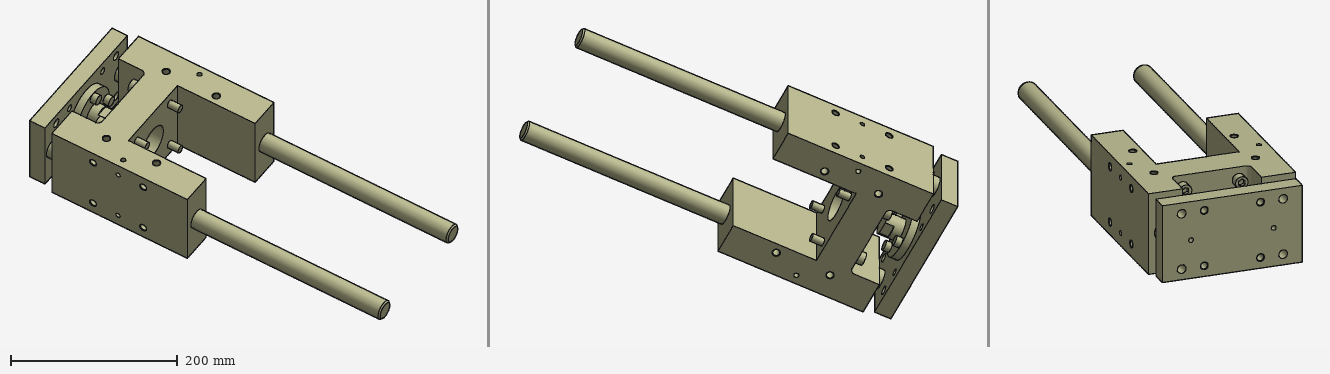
import cadquery as cq
import math

TOTAL_LENGTH = 501.0

PLATE_THICKNESS = 22.0
PLATE_WIDTH = 180.0
PLATE_HEIGHT = 100.0

HOUSING_START = 35.0
HOUSING_END = 230.0
HOUSING_WIDTH = 189.0
HOUSING_HEIGHT = 105.0
WEB_START = 74.5
WEB_END = 118.0
FRONT_OPENING = 101.0
REAR_OPENING = 106.5
CORNER_RADIUS = 6.0

ROD_DIAMETER = 25.0
ROD_SPACING = 148.5
ROD_CHAMFER = 2.0

FLANGE_DIAMETER = 70.0
FLANGE_THICKNESS = 10.0
STUD_DIAMETER = 29.0
STUD_END = 56.5
STUD_FLATS = 24.0
STUD_FLAT_LENGTH = 12.0
FLANGE_SCREW_DIAMETER = 13.0
FLANGE_SCREW_HEIGHT = 8.0
FLANGE_SCREW_CIRCLE = 56.0

HOLE_PITCH = 72.0
WIDE_PITCH = 130.5

THREAD_DIAMETER = 10.0
CORE_DIAMETER = 8.5
COUNTERSINK_DEPTH = (THREAD_DIAMETER - CORE_DIAMETER) / 2
THREAD_DEPTH = 15.0
POINT_ANGLE = 118.0

DOWEL_DIAMETER = 6.0
DOWEL_DEPTH = 12.0
PLATE_DOWEL_SPACING = 106.0
HOUSING_DOWEL_SPACING = 166.5
PATTERN_CENTRE = 130.5

CLEARANCE_DIAMETER = 11.0

WEB_BORE = 45.0
SCREW_DIAMETER = 10.0
SCREW_TAIL = 15.5
SCREW_HEAD_DIAMETER = 16.0
SCREW_HEAD_HEIGHT = 11.0
SOCKET_FLATS = 8.0
SOCKET_DEPTH = 5.0

INTO_PLATE = (1, 0, 0)


def block(x_start, x_end, width, height):
    """Box between two X positions, centred on the X axis."""
    return cq.Workplane("YZ", origin=(x_start, 0, 0)).rect(width, height).extrude(x_end - x_start)


def rod(diameter, x_start, x_end, y=0.0, z=0.0):
    """Cylinder parallel to X."""
    return cq.Workplane("YZ", origin=(x_start, y, z)).circle(diameter / 2).extrude(x_end - x_start)


def corners(pitch_a, pitch_b):
    """Four corners of a centred rectangle."""
    return [(a * pitch_a / 2, b * pitch_b / 2) for a in (-1, 1) for b in (-1, 1)]


def placed(tool, position, direction):
    """Cutting tool built along +Z, moved so that it enters at a position along a direction."""
    return cq.Workplane(tool.moved(cq.Location(cq.Plane(origin=position, normal=direction))))


def countersink():
    """Cone that widens the mouth of a threaded hole."""
    return cq.Solid.makeCone(THREAD_DIAMETER / 2, CORE_DIAMETER / 2, COUNTERSINK_DEPTH)


def core_bore(depth):
    """Cylinder of the thread's core diameter."""
    return cq.Solid.makeCylinder(CORE_DIAMETER / 2, depth)


def blind_thread(position, direction):
    """Countersunk core hole with a drill point at its bottom."""
    point_depth = CORE_DIAMETER / 2 / math.tan(math.radians(POINT_ANGLE / 2))
    point = cq.Solid.makeCone(CORE_DIAMETER / 2, 0, point_depth).translate(cq.Vector(0, 0, THREAD_DEPTH))
    tool = countersink().fuse(core_bore(THREAD_DEPTH), point)
    return placed(tool, position, direction)


def through_thread(position, direction, length):
    """Countersunk core hole through a wall of the given thickness."""
    return placed(countersink().fuse(core_bore(length)), position, direction)


def dowel_hole(position, direction):
    """Plain flat-bottomed blind hole."""
    return placed(cq.Solid.makeCylinder(DOWEL_DIAMETER / 2, DOWEL_DEPTH), position, direction)


def housing_blank():
    """H-shaped block with rounded corners in the front opening."""
    blank = block(HOUSING_START, HOUSING_END, HOUSING_WIDTH, HOUSING_HEIGHT)
    front_opening = (
        block(HOUSING_START, WEB_START, FRONT_OPENING, HOUSING_HEIGHT)
        .edges(">X and |Z")
        .fillet(CORNER_RADIUS)
    )
    rear_opening = block(WEB_END, HOUSING_END, REAR_OPENING, HOUSING_HEIGHT)
    return blank.cut(front_opening).cut(rear_opening)


def cut_face_holes(housing, side):
    """Threaded and dowel holes in the top (side 1) or bottom (side -1) face."""
    face = side * HOUSING_HEIGHT / 2
    inward = (0, 0, -side)
    for along, y in corners(HOLE_PITCH, WIDE_PITCH):
        housing = housing.cut(blind_thread((PATTERN_CENTRE + along, y, face), inward))
    for y in (-HOUSING_DOWEL_SPACING / 2, HOUSING_DOWEL_SPACING / 2):
        housing = housing.cut(dowel_hole((PATTERN_CENTRE, y, face), inward))
    return housing


def cut_flank_holes(housing, side):
    """Threaded and dowel holes in the +Y (side 1) or -Y (side -1) flank."""
    flank = side * HOUSING_WIDTH / 2
    inward = (0, -side, 0)
    for along, z in corners(HOLE_PITCH, HOLE_PITCH):
        housing = housing.cut(blind_thread((PATTERN_CENTRE + along, flank, z), inward))
    for z in (-HOLE_PITCH / 2, HOLE_PITCH / 2):
        housing = housing.cut(dowel_hole((PATTERN_CENTRE, flank, z), inward))
    return housing


def web_screw(y, z):
    """Socket-head screw through the web."""
    head_start = WEB_START - SCREW_HEAD_HEIGHT
    head = rod(SCREW_HEAD_DIAMETER, head_start, WEB_START, y, z)
    shank = rod(SCREW_DIAMETER, WEB_START, WEB_END + SCREW_TAIL, y, z)
    socket = (
        cq.Workplane("YZ", origin=(head_start, y, z))
        .polygon(6, SOCKET_FLATS, circumscribed=True)
        .extrude(SOCKET_DEPTH)
    )
    return head.union(shank).cut(socket)


def make_housing():
    """Housing with its bores, mounting holes and web screws."""
    housing = housing_blank()
    housing = housing.cut(rod(WEB_BORE, WEB_START, WEB_END))
    for y in (-ROD_SPACING / 2, ROD_SPACING / 2):
        housing = housing.cut(rod(ROD_DIAMETER, HOUSING_START, HOUSING_END, y))

    for side in (-1, 1):
        housing = cut_face_holes(housing, side)
        housing = cut_flank_holes(housing, side)

    for y, z in corners(HOLE_PITCH, HOLE_PITCH):
        housing = housing.union(web_screw(y, z))
    return housing


def make_coupling():
    """Flange with a flatted stud and four screw heads."""
    flange_end = PLATE_THICKNESS + FLANGE_THICKNESS
    coupling = rod(FLANGE_DIAMETER, PLATE_THICKNESS, flange_end)
    stud = rod(STUD_DIAMETER, PLATE_THICKNESS, STUD_END)
    flat_start = STUD_END - STUD_FLAT_LENGTH
    flatted = block(flat_start, STUD_END, STUD_DIAMETER, STUD_FLATS)
    plain = block(PLATE_THICKNESS, flat_start, STUD_DIAMETER, STUD_DIAMETER)
    coupling = coupling.union(stud.intersect(plain.union(flatted)))
    radius = FLANGE_SCREW_CIRCLE / 2
    for y, z in ((radius, 0), (0, radius), (-radius, 0), (0, -radius)):
        coupling = coupling.union(
            rod(FLANGE_SCREW_DIAMETER, PLATE_THICKNESS, flange_end + FLANGE_SCREW_HEIGHT, y, z)
        )
    return coupling


def make_carriage():
    """Plate with its holes, the two guide rods and the coupling."""
    carriage = block(0, PLATE_THICKNESS, PLATE_WIDTH, PLATE_HEIGHT)
    for y, z in corners(WIDE_PITCH, HOLE_PITCH):
        carriage = carriage.cut(rod(CLEARANCE_DIAMETER, 0, PLATE_THICKNESS, y, z))
    for y, z in corners(HOLE_PITCH, HOLE_PITCH):
        carriage = carriage.cut(through_thread((0, y, z), INTO_PLATE, PLATE_THICKNESS))
    for y in (-PLATE_DOWEL_SPACING / 2, PLATE_DOWEL_SPACING / 2):
        carriage = carriage.cut(dowel_hole((0, y, 0), INTO_PLATE))
    for y in (-ROD_SPACING / 2, ROD_SPACING / 2):
        guide = rod(ROD_DIAMETER, PLATE_THICKNESS, TOTAL_LENGTH, y)
        carriage = carriage.union(guide.faces(">X").chamfer(ROD_CHAMFER))
    return carriage.union(make_coupling())


housing = make_housing()
carriage = make_carriage()

result = cq.Compound.makeCompound([housing.val(), carriage.val()])